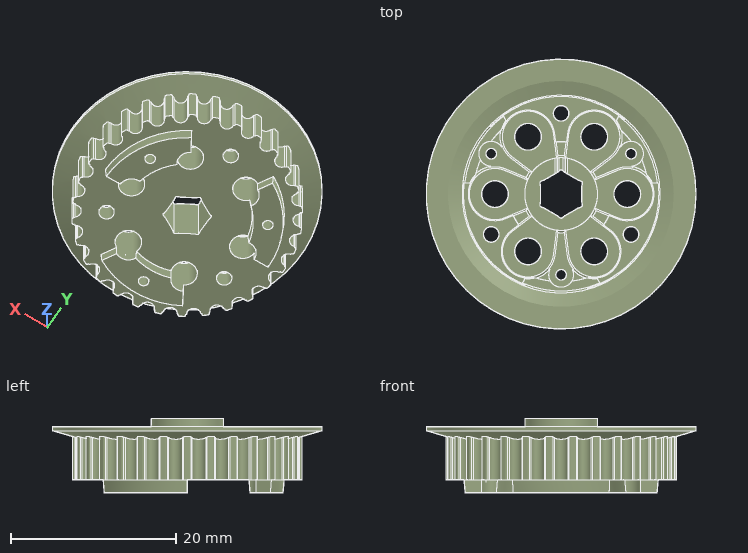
import math

import cadquery as cq

PLATE_Z = 1.55
FOOT_FLOOR_Z = 1.3
RING_FLOOR_Z = 2.8
GAP_FLOOR_Z = 3.2
MAIN_FLOOR_Z = 4.5
BOSS_TOP_Z = 7.0
FLANGE_TOP_Z = 8.0
HUB_TOP_Z = 9.0

DRAFT_DEG = 3.0
DRAFT = math.tan(math.radians(DRAFT_DEG))
STEEP_DRAFT_DEG = 5.0
STEEP_DRAFT = math.tan(math.radians(STEEP_DRAFT_DEG))

TOOTH_COUNT = 30
BELT_PITCH = 3.0
PITCH_LINE_OFFSET = 0.38
TIP_R = TOOTH_COUNT * BELT_PITCH / (2 * math.pi) - PITCH_LINE_OFFSET
GROOVE_MOUTH_HALF_W = 1.18
GROOVE_ROOT_R = 12.83
FLANK_END_R = 13.55
FLANK_END_HALF_W = 0.83
TOOTH_CORNER_R = 0.2
FLANGE_R = 16.325
FLANGE_EDGE_H = 0.5
FLANGE_SLOPE = 0.295
FLANGE_JOIN_R = 12.4

CAVITY_MOUTH_R = 13.65
CAVITY_R = 11.97
CAVITY_RIM_Z = 7.5
GAP_RECESS_R = 6.35

SECTOR_DEG = 60
FOOT_ANGLES = (30, 150, 270)
FOOT_OUTER_R = 11.75
FOOT_INNER_R = 7.86
FOOT_WALL = 1.33
POCKET_INNER_R = 9.2
POCKET_OUTER_R = 10.6

HUB_R = 4.4
HUB_STRAIGHT_END_Z = 6.45
BOSS_COUNT = 6
BOSS_CENTRE_R = 8.0
BOSS_R = 3.1
BOSS_HOLE_D = 3.2
SCREW_CENTRE_R = 9.76
SCREW_BOSS_R = 1.5
SCREW_HOLE_D = 1.25
CLEARANCE_ANGLES = (90, 210, 330)
CLEARANCE_HOLE_D = 1.85

HEX_SIDES = 6
HEX_CORNER_FLATS = 5.08
HEX_PAD_FLATS = 4.97
HEX_RELIEF_END = 0.24
HEX_PAD_START = 0.53

SLOT_TOP_HALF_W = 0.76
SLOT_SHOULDER_HALF_W = 0.5
SLOT_WALL_END_HALF_W = 0.45
SLOT_FLOOR_HALF_W = 0.25
SLOT_CHAMFER_H = 0.15
SLOT_WALL_END_Z = 8.2
SLOT_FLOOR_Z = 8.05


def revolve_profile(points, angle=360):
    """Revolve (radius, z) points about Z."""
    profile = cq.Workplane("XZ").polyline(points).close()
    return profile.revolve(angle, (0, 0), (0, 1))


def cylinder(radius, bottom, top):
    return cq.Workplane("XY").workplane(offset=bottom).circle(radius).extrude(top - bottom)


def turn(shape, angle):
    return shape.rotate((0, 0, 0), (0, 0, 1), angle)


def at_polar(shape, radius, angle):
    return turn(shape.translate((radius, 0, 0)), angle)


def rotate_point(x, y, angle):
    """Turn a point about the origin by an angle in radians."""
    turned_x = x * math.cos(angle) - y * math.sin(angle)
    turned_y = x * math.sin(angle) + y * math.cos(angle)
    return turned_x, turned_y


def cavity_radius(z):
    return CAVITY_R - (CAVITY_RIM_Z - z) * DRAFT


def make_toothed_rim():
    """Disc whose outline runs groove by groove, a tooth being centred on +X."""
    corner_x = math.sqrt(TIP_R**2 - GROOVE_MOUTH_HALF_W**2)
    corner_end_x = corner_x - TOOTH_CORNER_R
    corner_end_y = GROOVE_MOUTH_HALF_W - TOOTH_CORNER_R
    corner_bulge = TOOTH_CORNER_R * math.sqrt(0.5)
    corner_mid_x = corner_end_x + corner_bulge
    corner_mid_y = GROOVE_MOUTH_HALF_W - corner_bulge
    step = 2 * math.pi / TOOTH_COUNT

    start = rotate_point(corner_x, -GROOVE_MOUTH_HALF_W, step / 2)
    outline = cq.Workplane("XY").workplane(offset=PLATE_Z).moveTo(*start)
    for index in range(TOOTH_COUNT):
        groove_angle = (index + 0.5) * step

        def place(x, y, angle=groove_angle):
            return rotate_point(x, y, angle)

        next_tip = place(TIP_R * math.cos(step / 2), TIP_R * math.sin(step / 2))
        next_groove = rotate_point(corner_x, -GROOVE_MOUTH_HALF_W, groove_angle + step)
        outline = (
            outline.threePointArc(place(corner_mid_x, -corner_mid_y), place(corner_end_x, -corner_end_y))
            .lineTo(*place(FLANK_END_R, -FLANK_END_HALF_W))
            .threePointArc(place(GROOVE_ROOT_R, 0), place(FLANK_END_R, FLANK_END_HALF_W))
            .lineTo(*place(corner_end_x, corner_end_y))
            .threePointArc(place(corner_mid_x, corner_mid_y), place(corner_x, GROOVE_MOUTH_HALF_W))
            .threePointArc(next_tip, next_groove)
        )
    return outline.close().extrude(FLANGE_TOP_Z - PLATE_Z)


def make_flange():
    """Thin-edged flange with a conical underside."""
    edge_z = FLANGE_TOP_Z - FLANGE_EDGE_H
    join_z = edge_z - (FLANGE_R - FLANGE_JOIN_R) * FLANGE_SLOPE
    return revolve_profile([
        (0, join_z),
        (FLANGE_JOIN_R, join_z),
        (FLANGE_R, edge_z),
        (FLANGE_R, FLANGE_TOP_Z),
        (0, FLANGE_TOP_Z),
    ])


def make_foot():
    """Sixth of a ring, centred on +X, with drafted inner and outer faces."""
    taper = PLATE_Z * STEEP_DRAFT
    foot = revolve_profile([
        (FOOT_INNER_R + taper, 0),
        (FOOT_OUTER_R - taper, 0),
        (FOOT_OUTER_R, PLATE_Z),
        (FOOT_INNER_R, PLATE_Z),
    ], SECTOR_DEG)
    return turn(foot, -SECTOR_DEG / 2)


def make_wedge():
    """Plan area of one foot on +X, set in from its two ends by the wall thickness."""
    half_angle = math.radians(SECTOR_DEG / 2)
    apex_x = FOOT_WALL / math.sin(half_angle)
    half_w = (FLANGE_R - apex_x) * math.tan(half_angle)
    corners = [(apex_x, 0), (FLANGE_R, -half_w), (FLANGE_R, half_w)]
    return cq.Workplane("XY").polyline(corners).close().extrude(MAIN_FLOOR_Z)


def make_hollow():
    """Space inside the rim, down to the stepped floors and into the feet."""
    hollow = revolve_profile([
        (0, RING_FLOOR_Z),
        (cavity_radius(RING_FLOOR_Z), RING_FLOOR_Z),
        (CAVITY_R, CAVITY_RIM_Z),
        (CAVITY_MOUTH_R, FLANGE_TOP_Z),
        (0, FLANGE_TOP_Z),
    ])
    main_floor = cylinder(CAVITY_R, RING_FLOOR_Z, MAIN_FLOOR_Z)
    main_floor = main_floor.cut(cylinder(GAP_RECESS_R, RING_FLOOR_Z, MAIN_FLOOR_Z))
    gap_floor = cylinder(POCKET_INNER_R, RING_FLOOR_Z, GAP_FLOOR_Z)
    foot_pocket = cylinder(POCKET_OUTER_R, FOOT_FLOOR_Z, RING_FLOOR_Z)
    foot_pocket = foot_pocket.cut(cylinder(POCKET_INNER_R, FOOT_FLOOR_Z, RING_FLOOR_Z))
    foot_pocket = foot_pocket.intersect(make_wedge())
    screw_boss = cylinder(SCREW_BOSS_R, FOOT_FLOOR_Z, GAP_FLOOR_Z)
    for angle in FOOT_ANGLES:
        main_floor = main_floor.cut(turn(make_wedge(), angle))
        gap_floor = gap_floor.union(at_polar(screw_boss, SCREW_CENTRE_R, angle))
        hollow = hollow.union(turn(foot_pocket, angle))
    return hollow.cut(main_floor).cut(gap_floor)


def make_boss():
    """Drafted teardrop on +X, its straight sides running in to the part axis."""
    tangent_angle = math.acos(BOSS_R / BOSS_CENTRE_R)
    tangent_x = BOSS_CENTRE_R - BOSS_R * math.cos(tangent_angle)
    tangent_y = BOSS_R * math.sin(tangent_angle)
    return (
        cq.Workplane("XY")
        .workplane(offset=BOSS_TOP_Z)
        .lineTo(tangent_x, -tangent_y)
        .threePointArc((BOSS_CENTRE_R + BOSS_R, 0), (tangent_x, tangent_y))
        .close()
        .extrude(PLATE_Z - BOSS_TOP_Z, taper=-DRAFT_DEG)
    )


def make_hub():
    """Hub, straight at the top and drafted below."""
    base_r = HUB_R + (HUB_STRAIGHT_END_Z - PLATE_Z) * STEEP_DRAFT
    return revolve_profile([
        (0, PLATE_Z),
        (base_r, PLATE_Z),
        (HUB_R, HUB_STRAIGHT_END_Z),
        (HUB_R, HUB_TOP_Z),
        (0, HUB_TOP_Z),
    ])


def make_hex_bore():
    """Hexagon with corners on the Y axis and a raised pad along each flat."""
    half_side = HEX_CORNER_FLATS / 2 * math.tan(math.pi / HEX_SIDES)
    flat_profile = [
        (HEX_CORNER_FLATS / 2, -half_side),
        (HEX_CORNER_FLATS / 2, -half_side + HEX_RELIEF_END),
        (HEX_PAD_FLATS / 2, -half_side + HEX_PAD_START),
        (HEX_PAD_FLATS / 2, half_side - HEX_PAD_START),
        (HEX_CORNER_FLATS / 2, half_side - HEX_RELIEF_END),
    ]
    points = []
    for side in range(HEX_SIDES):
        angle = 2 * math.pi * side / HEX_SIDES
        for x, y in flat_profile:
            points.append(rotate_point(x, y, angle))
    return cq.Workplane("XY").polyline(points).close().extrude(HUB_TOP_Z)


def make_hub_slot():
    """Shallow slot from the bore out to +Y, bevelled at its rim and its floor."""
    shoulder_z = HUB_TOP_Z - SLOT_CHAMFER_H
    profile = [
        (-SLOT_TOP_HALF_W, HUB_TOP_Z),
        (-SLOT_SHOULDER_HALF_W, shoulder_z),
        (-SLOT_WALL_END_HALF_W, SLOT_WALL_END_Z),
        (-SLOT_FLOOR_HALF_W, SLOT_FLOOR_Z),
        (SLOT_FLOOR_HALF_W, SLOT_FLOOR_Z),
        (SLOT_WALL_END_HALF_W, SLOT_WALL_END_Z),
        (SLOT_SHOULDER_HALF_W, shoulder_z),
        (SLOT_TOP_HALF_W, HUB_TOP_Z),
    ]
    return cq.Workplane("XZ").polyline(profile).close().extrude(-HUB_R)


body = make_toothed_rim().union(make_flange())
for foot_angle in FOOT_ANGLES:
    body = body.union(turn(make_foot(), foot_angle))
body = body.cut(make_hollow())

body = body.union(make_hub())
boss_angles = [index * 360 / BOSS_COUNT for index in range(BOSS_COUNT)]
for boss_angle in boss_angles:
    body = body.union(turn(make_boss(), boss_angle))

hole_groups = [
    (BOSS_HOLE_D, BOSS_CENTRE_R, boss_angles),
    (SCREW_HOLE_D, SCREW_CENTRE_R, FOOT_ANGLES),
    (CLEARANCE_HOLE_D, SCREW_CENTRE_R, CLEARANCE_ANGLES),
]
for diameter, centre_r, angles in hole_groups:
    hole = cylinder(diameter / 2, 0, HUB_TOP_Z)
    for hole_angle in angles:
        body = body.cut(at_polar(hole, centre_r, hole_angle))
body = body.cut(make_hex_bore())
body = body.cut(make_hub_slot())

result = body